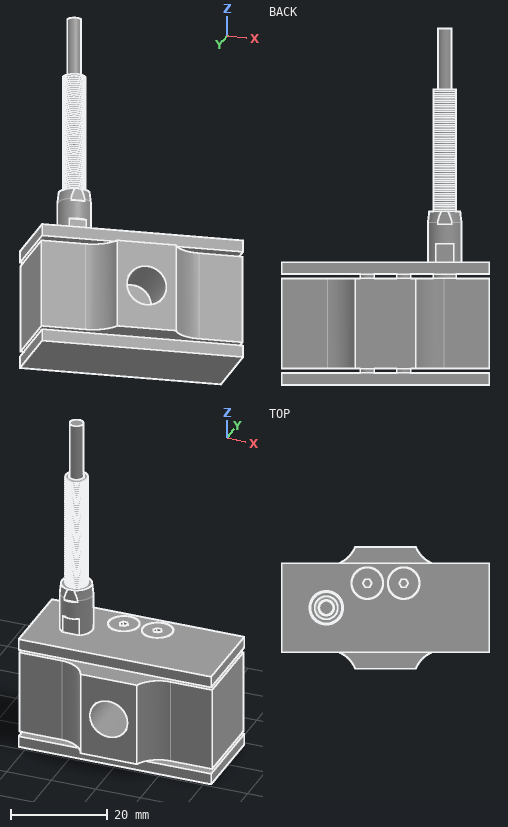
import cadquery as cq
import math

PLATE_LENGTH = 43.2
PLATE_DEPTH = 18.55
PLATE_THICKNESS = 2.5
GAP = 0.9
BLOCK_HEIGHT = 18.8
BLOCK_DEPTH = 17.5
BLOCK_BOTTOM = PLATE_THICKNESS + GAP
BLOCK_TOP = BLOCK_BOTTOM + BLOCK_HEIGHT
TOP_PLATE_BOTTOM = BLOCK_TOP + GAP
TOP_PLATE_TOP = TOP_PLATE_BOTTOM + PLATE_THICKNESS

BOSS_DEPTH = 25.4
BOSS_FACE_LENGTH = 12.6
BOSS_FOOT_LENGTH = 24.35
BLIND_HOLE_DIAMETER = 8.5
BLIND_HOLE_DEPTH = BOSS_DEPTH / 2

SCREW_SPACING = 7.6
SCREW_Y = 5.1
SCREW_DIAMETER = 3.0
SCREW_HEAD_DIAMETER = 6.45
SCREW_HEAD_HEIGHT = (SCREW_HEAD_DIAMETER - SCREW_DIAMETER) / 2
SCREW_END_HEIGHT = 0.9
HEAD_CLEARANCE = 0.11
SOCKET_ACROSS_FLATS = 1.6
SOCKET_DEPTH = 0.9
SCREW_PLACES = [(-SCREW_SPACING / 2, SCREW_Y), (SCREW_SPACING / 2, SCREW_Y)]

GLAND_X = -12.3
NECK_DIAMETER = 4.8
GLAND_DIAMETER = 7.05
GLAND_TIP_DIAMETER = 6.5
GLAND_HEIGHT = 10.55
GLAND_TAPER_HEIGHT = 2.2
WRENCH_FLAT_WIDTH = 6.0
WRENCH_FLAT_HEIGHT = 3.85
TIP_FLAT_WIDTH = 6.4
TIP_FLAT_HEIGHT = 2.7
SLEEVE_DIAMETER = 4.8
SLEEVE_BORE = 3.3
SLEEVE_LENGTH = 25.5
RIB_COUNT = 55
CABLE_DIAMETER = 2.9
OVERALL_HEIGHT = 74.25
GLAND_TOP = TOP_PLATE_TOP + GLAND_HEIGHT


def cylinder(x, y, z_from, z_to, diameter):
    """Upright cylinder between two heights."""
    return cq.Workplane("XY", origin=(x, y, z_from)).circle(diameter / 2).extrude(z_to - z_from)


def plate(z_bottom):
    """Plain rectangular plate."""
    plane = cq.Workplane("XY", origin=(0, 0, z_bottom))
    return plane.rect(PLATE_LENGTH, PLATE_DEPTH).extrude(PLATE_THICKNESS)


def boss_arc_middle():
    """Middle point of the hollow arc that leaves the block face tangentially at the boss foot."""
    run = (BOSS_FOOT_LENGTH - BOSS_FACE_LENGTH) / 2
    rise = (BOSS_DEPTH - BLOCK_DEPTH) / 2
    radius = (run**2 + rise**2) / (2 * rise)
    half_sweep = math.atan2(rise, run)
    x = BOSS_FOOT_LENGTH / 2 - radius * math.sin(half_sweep)
    y = BLOCK_DEPTH / 2 + radius * (1 - math.cos(half_sweep))
    return x, y


def block():
    """Block with a boss on each long side and a blind hole in the -Y boss."""
    half_length = PLATE_LENGTH / 2
    foot_x, foot_y = BOSS_FOOT_LENGTH / 2, BLOCK_DEPTH / 2
    face_x, face_y = BOSS_FACE_LENGTH / 2, BOSS_DEPTH / 2
    arc_x, arc_y = boss_arc_middle()
    half = (
        cq.Workplane("XY", origin=(0, 0, BLOCK_BOTTOM))
        .moveTo(-half_length, 0)
        .lineTo(-half_length, -foot_y)
        .lineTo(-foot_x, -foot_y)
        .threePointArc((-arc_x, -arc_y), (-face_x, -face_y))
        .lineTo(face_x, -face_y)
        .threePointArc((arc_x, -arc_y), (foot_x, -foot_y))
        .lineTo(half_length, -foot_y)
        .lineTo(half_length, 0)
        .close()
        .extrude(BLOCK_HEIGHT)
    )
    body = half.union(half.mirror("XZ"))
    hole = (
        cq.Workplane("XZ", origin=(0, -BOSS_DEPTH / 2, BLOCK_BOTTOM + BLOCK_HEIGHT / 2))
        .circle(BLIND_HOLE_DIAMETER / 2)
        .extrude(-BLIND_HOLE_DEPTH)
    )
    return body.cut(hole)


def screw_head(x, y, clearance):
    """Countersunk head, widened all round by the clearance."""
    return (
        cq.Workplane("XY", origin=(x, y, TOP_PLATE_TOP))
        .circle(SCREW_HEAD_DIAMETER / 2 + clearance)
        .workplane(offset=-SCREW_HEAD_HEIGHT)
        .circle(SCREW_DIAMETER / 2 + clearance)
        .loft()
    )


def screw_shank(x, y):
    """Plain shank from the bottom plate to the top of the head."""
    return cylinder(x, y, SCREW_END_HEIGHT, TOP_PLATE_TOP, SCREW_DIAMETER)


def screw(x, y):
    """Screw with a hexagon socket in its countersunk head."""
    socket = (
        cq.Workplane("XY", origin=(x, y, TOP_PLATE_TOP))
        .polygon(6, SOCKET_ACROSS_FLATS / math.cos(math.pi / 6))
        .extrude(-SOCKET_DEPTH)
    )
    return screw_shank(x, y).union(screw_head(x, y, 0)).cut(socket)


def flats(z_from, height, width):
    """Two slabs that trim the gland to a width along Y."""
    slab_depth = GLAND_DIAMETER
    offset = (width + slab_depth) / 2
    return (
        cq.Workplane("XY", origin=(GLAND_X, 0, z_from))
        .pushPoints([(0, -offset), (0, offset)])
        .rect(GLAND_DIAMETER, slab_depth)
        .extrude(height)
    )


def neck():
    """Gland neck from the block up through the top plate."""
    return cylinder(GLAND_X, 0, BLOCK_TOP, TOP_PLATE_TOP, NECK_DIAMETER)


def gland():
    """Gland with wrench flats at its foot and a tapered, flatted tip."""
    taper_bottom = GLAND_TOP - GLAND_TAPER_HEIGHT
    barrel = cylinder(GLAND_X, 0, TOP_PLATE_TOP, taper_bottom, GLAND_DIAMETER)
    taper = (
        cq.Workplane("XY", origin=(GLAND_X, 0, taper_bottom))
        .circle(GLAND_DIAMETER / 2)
        .workplane(offset=GLAND_TAPER_HEIGHT)
        .circle(GLAND_TIP_DIAMETER / 2)
        .loft()
    )
    wrench_flats = flats(TOP_PLATE_TOP, WRENCH_FLAT_HEIGHT, WRENCH_FLAT_WIDTH)
    tip_flats = flats(GLAND_TOP - TIP_FLAT_HEIGHT, TIP_FLAT_HEIGHT, TIP_FLAT_WIDTH)
    return barrel.union(taper).cut(wrench_flats).cut(tip_flats).union(neck())


def sleeve():
    """Sleeve of half-round ribs, open around the cable."""
    pitch = SLEEVE_LENGTH / RIB_COUNT
    bore_radius = SLEEVE_BORE / 2
    crest_radius = SLEEVE_DIAMETER / 2
    valley_radius = crest_radius - pitch / 2
    profile = cq.Workplane("XZ", origin=(GLAND_X, 0, GLAND_TOP))
    profile = profile.moveTo(bore_radius, 0).lineTo(valley_radius, 0)
    for rib in range(RIB_COUNT):
        rib_bottom = rib * pitch
        crest = (crest_radius, rib_bottom + pitch / 2)
        profile = profile.threePointArc(crest, (valley_radius, rib_bottom + pitch))
    profile = profile.lineTo(bore_radius, SLEEVE_LENGTH).close()
    return profile.revolve(360, (0, 0, 0), (0, 1, 0))


def cable():
    """Plain cable from the gland to the full height."""
    return cylinder(GLAND_X, 0, GLAND_TOP, OVERALL_HEIGHT, CABLE_DIAMETER)


def core():
    """Block with its screws, gland, sleeve and cable."""
    body = block()
    for x, y in SCREW_PLACES:
        body = body.union(screw(x, y))
    return body.union(gland()).union(sleeve()).union(cable())


def top_plate():
    """Plate with countersunk screw holes and a hole for the gland neck."""
    body = plate(TOP_PLATE_BOTTOM).cut(neck())
    for x, y in SCREW_PLACES:
        body = body.cut(screw_head(x, y, HEAD_CLEARANCE)).cut(screw_shank(x, y))
    return body


def bottom_plate():
    """Plate with blind holes that take the screw ends."""
    body = plate(0)
    for x, y in SCREW_PLACES:
        body = body.cut(screw_shank(x, y))
    return body


result = cq.Compound.makeCompound([core().val(), top_plate().val(), bottom_plate().val()])